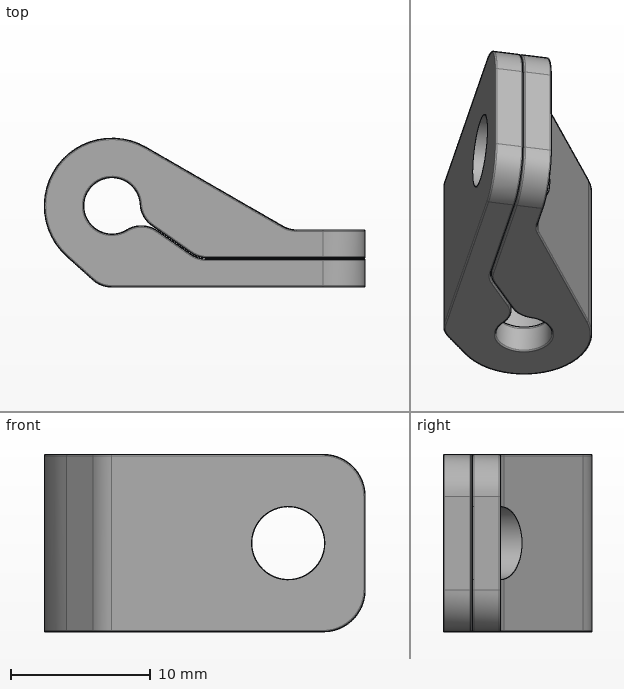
import cadquery as cq
import math

LENGTH = 22.95
DEPTH = 12.7
BARREL_RADIUS = 4.85
BARREL_Y = 5.8
BORE_RADIUS = 2.02
LUG_THICKNESS = 2.0
SLIT_WIDTH = 0.1
OUTLINE_RADIUS = 2.0
UPPER_SLOPE = math.radians(30)
LOWER_SLOPE = math.radians(42)

SLIT_SLOPE = math.radians(35)
SLIT_BEND_X = 11.0
SLIT_BEND_RADIUS = 2.0
MOUTH_RADIUS = 2.0

LUG_CORNER_RADIUS = 3.0
SCREW_HOLE_RADIUS = 2.605
SCREW_HOLE_X = 17.45

RELIEF_RADIUS = 3.21
LAND_LENGTH = 2.0
LIP_RADIUS = 0.3
EDGE_RADIUS = 0.1

BARREL_X = BARREL_RADIUS
LUG_TOP = 2 * LUG_THICKNESS + SLIT_WIDTH
SLIT_Y = LUG_THICKNESS + SLIT_WIDTH / 2


def on_circle(x, y, radius, angle):
    """Point at the given angle on a circle about (x, y)."""
    return (x + radius * math.cos(angle), y + radius * math.sin(angle))


def upright_edge_at(point):
    """Selector for the Z edge that stands at the given XY point."""
    return cq.NearestToPointSelector((*point, DEPTH / 2))


def make_body():
    """Teardrop outline: barrel, sloped upper side, lugs and flat base."""
    upper_tangent = on_circle(BARREL_X, BARREL_Y, BARREL_RADIUS, math.pi / 2 - UPPER_SLOPE)
    lower_tangent = on_circle(BARREL_X, BARREL_Y, BARREL_RADIUS, -math.pi / 2 - LOWER_SLOPE)
    lug_root = (upper_tangent[0] + (upper_tangent[1] - LUG_TOP) / math.tan(UPPER_SLOPE), LUG_TOP)
    base_corner = (lower_tangent[0] + lower_tangent[1] / math.tan(LOWER_SLOPE), 0)
    body = (
        cq.Workplane("XY")
        .moveTo(*base_corner)
        .lineTo(LENGTH, 0)
        .lineTo(LENGTH, LUG_TOP)
        .lineTo(*lug_root)
        .lineTo(*upper_tangent)
        .threePointArc((0, BARREL_Y), lower_tangent)
        .close()
        .extrude(DEPTH)
    )
    for corner in (lug_root, base_corner):
        body = body.edges(upright_edge_at(corner)).fillet(OUTLINE_RADIUS)
    return body


def make_slit():
    """Thin cut from the bore, down the slope and out between the lugs."""
    inner_x = BARREL_X + BORE_RADIUS / 2
    inner_y = SLIT_Y + (SLIT_BEND_X - inner_x) * math.tan(SLIT_SLOPE)
    rise = SLIT_WIDTH / 2 / math.cos(SLIT_SLOPE)
    shift = SLIT_WIDTH / 2 * math.tan(SLIT_SLOPE / 2)
    upper_y = SLIT_Y + SLIT_WIDTH / 2
    lower_y = SLIT_Y - SLIT_WIDTH / 2
    upper_bend = (SLIT_BEND_X + shift, upper_y)
    lower_bend = (SLIT_BEND_X - shift, lower_y)
    slit = (
        cq.Workplane("XY")
        .polyline([
            (inner_x, inner_y - rise),
            lower_bend,
            (LENGTH, lower_y),
            (LENGTH, upper_y),
            upper_bend,
            (inner_x, inner_y + rise),
        ])
        .close()
        .extrude(DEPTH)
    )
    for bend, radius in (
        (upper_bend, SLIT_BEND_RADIUS),
        (lower_bend, SLIT_BEND_RADIUS + SLIT_WIDTH),
    ):
        slit = slit.edges(upright_edge_at(bend)).fillet(radius)
    return slit


def slit_mouth(side):
    """Corner where one slit wall (side +1 upper, -1 lower) meets the bore."""
    offset = (
        (SLIT_BEND_X - BARREL_X) * math.sin(SLIT_SLOPE)
        + (SLIT_Y - BARREL_Y) * math.cos(SLIT_SLOPE)
        + side * SLIT_WIDTH / 2
    )
    angle = math.asin(offset / BORE_RADIUS) - SLIT_SLOPE
    return on_circle(BARREL_X, BARREL_Y, BORE_RADIUS, angle)


def make_relief():
    """Widened middle of the bore, with a rounded lip next to each end land."""
    low_start = LAND_LENGTH
    low_end = LAND_LENGTH + LIP_RADIUS
    high_start = DEPTH - low_start
    high_end = DEPTH - low_end
    lip_outer = BORE_RADIUS + LIP_RADIUS
    low_middle = on_circle(lip_outer, low_start, LIP_RADIUS, math.radians(135))
    high_middle = on_circle(lip_outer, high_start, LIP_RADIUS, math.radians(225))
    return (
        cq.Workplane("XZ", origin=(BARREL_X, BARREL_Y, 0))
        .moveTo(0, low_start)
        .lineTo(BORE_RADIUS, low_start)
        .threePointArc(low_middle, (lip_outer, low_end))
        .lineTo(RELIEF_RADIUS, low_end)
        .lineTo(RELIEF_RADIUS, high_end)
        .lineTo(lip_outer, high_end)
        .threePointArc(high_middle, (BORE_RADIUS, high_start))
        .lineTo(0, high_start)
        .close()
        .revolve(360, (0, 0, 0), (0, 1, 0))
    )


body = make_body()
bore = cq.Workplane("XY").center(BARREL_X, BARREL_Y).circle(BORE_RADIUS).extrude(DEPTH)
body = body.cut(bore).cut(make_slit())
for side in (1, -1):
    body = body.edges(upright_edge_at(slit_mouth(side))).fillet(MOUTH_RADIUS)

body = body.faces(">X").edges("|Y").fillet(LUG_CORNER_RADIUS)

body = body.edges("(not (|Z or |Y)) or (>X and |Z)").fillet(EDGE_RADIUS)

body = body.cut(make_relief())

screw_hole = (
    cq.Workplane("XZ", origin=(SCREW_HOLE_X, 0, DEPTH / 2))
    .circle(SCREW_HOLE_RADIUS)
    .extrude(-(BARREL_Y + BARREL_RADIUS))
)
result = body.cut(screw_hole)